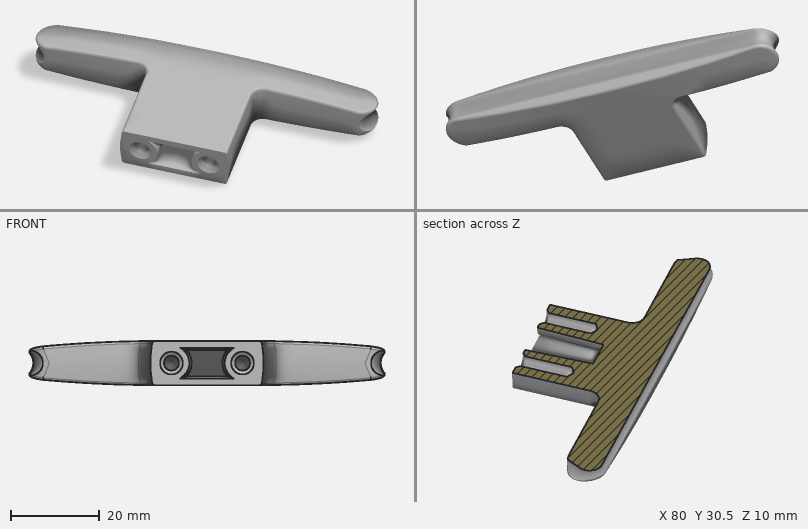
import cadquery as cq
import math

length = 80.0
height = 30.5
thickness = 10.0
half_length = length / 2
half_thickness = thickness / 2

bar_depth = 8.95
tip_radius = bar_depth / 2
bar_front = height - bar_depth
tip_center_y = height - tip_radius
stem_half_width = 12.7
face_bulge = 0.5
inner_corner_radius = 2.8
edge_radius = 0.6

taper_angle = 39.0
taper_radius = 110.4
taper_start_x = 1.2
taper_reach = 36.0
taper_axis_half_length = 48.0

groove_radius = 3.6
groove_depth = 0.7
groove_bend_radius = 2.95
groove_tip_depth = 0.9
groove_exit_angle = 27.0
groove_exit_length = 9.6

hole_spacing = 16.0
hole_diameter = 3.35
hole_chamfer = 0.9
hole_depth = 12.0
drill_point_angle = 118.0
pocket_height = 6.95
pocket_depth = 16.0
pocket_draft = 2.0
boss_radius = 4.0


def make_bar():
    """Round-ended bar whose front face is crowned."""
    plan = (
        cq.Workplane("XY", origin=(0, tip_center_y, -half_thickness))
        .slot2D(length, bar_depth)
        .extrude(thickness)
    )
    crowned = (
        cq.Workplane("YZ", origin=(-half_length, 0, 0))
        .moveTo(height, -half_thickness)
        .lineTo(height, half_thickness)
        .lineTo(bar_front + face_bulge, half_thickness)
        .threePointArc((bar_front, 0), (bar_front + face_bulge, -half_thickness))
        .close()
        .extrude(length)
    )
    return plan.intersect(crowned)


def make_stem():
    """Stem with crowned sides, reaching up into the bar."""
    corner_x = stem_half_width - face_bulge
    return (
        cq.Workplane("XZ")
        .moveTo(-corner_x, half_thickness)
        .lineTo(corner_x, half_thickness)
        .threePointArc((stem_half_width, 0), (corner_x, -half_thickness))
        .lineTo(-corner_x, -half_thickness)
        .threePointArc((-stem_half_width, 0), (-corner_x, half_thickness))
        .close()
        .extrude(-tip_center_y)
    )


def make_taper_cutter():
    """Material above the taper cylinder of the right arm."""
    angle = math.radians(taper_angle)
    axis = (math.cos(angle), -math.sin(angle), 0)
    across = (math.sin(angle), math.cos(angle), 0)
    drop = taper_radius - math.sqrt(taper_radius**2 - taper_reach**2)
    middle_reach = taper_reach / 2
    middle_drop = taper_radius - math.sqrt(taper_radius**2 - middle_reach**2)
    plane = cq.Plane(origin=(taper_start_x, height, half_thickness), xDir=across, normal=axis)
    return (
        cq.Workplane(plane)
        .threePointArc((middle_reach, -middle_drop), (taper_reach, -drop))
        .lineTo(taper_reach, 0)
        .close()
        .extrude(taper_axis_half_length, both=True)
    )


def make_groove_cutter():
    """Round tube following the back, the tip and the exit of the left arm."""
    angle = math.radians(groove_exit_angle)
    path_radius = groove_bend_radius + groove_radius
    center_x = -half_length + groove_tip_depth + groove_bend_radius
    center_y = height - groove_depth - groove_bend_radius
    back_y = center_y + path_radius
    bend_end_x = center_x - path_radius * math.cos(angle)
    bend_end_y = center_y - path_radius * math.sin(angle)
    path = (
        cq.Workplane("XY")
        .moveTo(0, back_y)
        .lineTo(center_x, back_y)
        .threePointArc((center_x - path_radius, center_y), (bend_end_x, bend_end_y))
        .line(groove_exit_length * math.sin(angle), -groove_exit_length * math.cos(angle))
    )
    return cq.Workplane("YZ", origin=(0, back_y, 0)).circle(groove_radius).sweep(path)


def make_hole(x):
    """Blind hole from the stem end with a chamfered mouth and a drill point."""
    radius = hole_diameter / 2
    point_length = radius / math.tan(math.radians(drill_point_angle / 2))
    return (
        cq.Workplane("XY", origin=(x, 0, 0))
        .lineTo(radius + hole_chamfer, 0)
        .lineTo(radius, hole_chamfer)
        .lineTo(radius, hole_depth)
        .lineTo(0, hole_depth + point_length)
        .close()
        .revolve(360, (0, 0, 0), (0, 1, 0))
    )


def make_pocket():
    """Drafted pocket whose ends curve around the screw holes."""
    half_height = pocket_height / 2
    hole_x = hole_spacing / 2
    corner_x = hole_x - math.sqrt(boss_radius**2 - half_height**2)
    waist_x = hole_x - boss_radius
    return (
        cq.Workplane("XZ")
        .moveTo(-corner_x, half_height)
        .lineTo(corner_x, half_height)
        .threePointArc((waist_x, 0), (corner_x, -half_height))
        .lineTo(-corner_x, -half_height)
        .threePointArc((-waist_x, 0), (-corner_x, half_height))
        .close()
        .extrude(-pocket_depth, taper=pocket_draft)
    )


body = make_bar().union(make_stem())
corner_margin = 0.8
inner_corners = cq.selectors.BoxSelector(
    (-stem_half_width - corner_margin, bar_front - corner_margin, -half_thickness),
    (stem_half_width + corner_margin, bar_front + corner_margin, half_thickness),
)
body = body.edges(inner_corners).fillet(inner_corner_radius)

taper = make_taper_cutter()
for cutter in (taper, taper.mirror("XY")):
    body = body.cut(cutter).cut(cutter.mirror("YZ"))

body = body.faces(">Z or <Z").edges("not <Y").fillet(edge_radius)

groove = make_groove_cutter()
body = body.cut(groove).cut(groove.mirror("YZ"))

for side in (-1, 1):
    body = body.cut(make_hole(side * hole_spacing / 2))
body = body.cut(make_pocket())

result = body